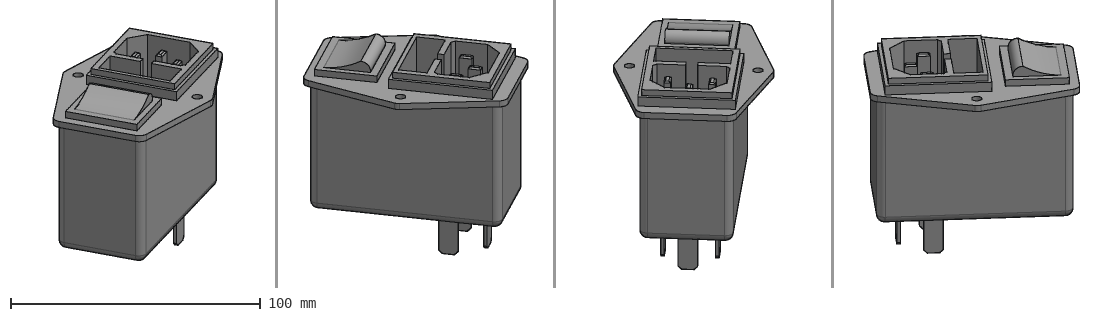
import cadquery as cq
import math

flange_thickness = 2.7
body_bottom = -58.2
blade_bottom = -75.0
socket_base_height = 4.0
socket_rim_height = 6.65
switch_base_height = 2.9
rocker_height = 7.4

flange_width = 64.3
flange_length = 84.1
flange_side_angle = 17.1
flange_corner_radius = 3.8
screw_hole_spacing = 51.6
screw_hole_diameter = 4.0

body_width = 37.5
body_length = 79.0
body_radius = 3.3

socket_center_y = 14.9
socket_base_width = 39.2
socket_base_length = 42.9
socket_step = 1.4

pocket_width = 30.95
pocket_floor = -16.8
connector_front_y = 11.1
connector_back_y = 32.2
connector_back_chamfer = 6.3
connector_front_chamfer = 1.5
fuse_front_y = -3.4
fuse_back_y = 8.4
slot_width = 4.8

pin_width = 2.7
pin_length = 5.2
pin_top = 3.95
pin_chamfer = 0.7
line_pin_x = 9.0
line_pin_y = 18.7
earth_pin_y = 24.5

blade_width = 7.9
blade_thickness = 1.4
blade_chamfer = 1.4
line_blade_x = 11.0
line_blade_y = 16.2
earth_blade_y = 29.6

switch_center_y = -25.15
switch_base_width = 30.95
switch_base_length = 25.7
rocker_width = 25.8
rocker_length = 19.3
rocker_back_radius = 4.0
rocker_front_radius = 32.4


def block(width, length, bottom, top, center_x=0.0, center_y=0.0):
    """Upright box between two heights."""
    return (
        cq.Workplane("XY", origin=(center_x, center_y, bottom))
        .rect(width, length)
        .extrude(top - bottom)
    )


def make_flange():
    angle = math.radians(flange_side_angle)
    tip_x = flange_width / 2 + flange_corner_radius * (1 / math.cos(angle) - 1)
    end_y = flange_length / 2
    end_x = tip_x - end_y * math.tan(angle)
    outline = [
        (tip_x, 0),
        (end_x, end_y),
        (-end_x, end_y),
        (-tip_x, 0),
        (-end_x, -end_y),
        (end_x, -end_y),
    ]
    return (
        cq.Workplane("XY")
        .polyline(outline)
        .close()
        .extrude(-flange_thickness)
        .edges("|Z")
        .fillet(flange_corner_radius)
        .faces(">Z")
        .workplane(origin=(0, 0, 0))
        .pushPoints([(-screw_hole_spacing / 2, 0), (screw_hole_spacing / 2, 0)])
        .hole(screw_hole_diameter)
    )


def make_body():
    box = block(body_width, body_length, body_bottom, -flange_thickness)
    return box.edges("|Z or <Z").fillet(body_radius)


def make_socket_block():
    base = block(socket_base_width, socket_base_length, 0, socket_base_height, 0, socket_center_y)
    rim_width = socket_base_width - 2 * socket_step
    rim_length = socket_base_length - 2 * socket_step
    rim = block(rim_width, rim_length, 0, socket_rim_height, 0, socket_center_y)
    return base.union(rim)


def pocket(width, front_y, back_y):
    """Cutter for a rectangular pocket that opens at the socket rim."""
    return block(width, back_y - front_y, pocket_floor, socket_rim_height, 0, (front_y + back_y) / 2)


def make_socket_pockets():
    connector = (
        pocket(pocket_width, connector_front_y, connector_back_y)
        .edges("|Z and >Y")
        .chamfer(connector_back_chamfer)
        .edges("|Z and <Y")
        .chamfer(connector_front_chamfer)
    )
    fuse = pocket(pocket_width, fuse_front_y, fuse_back_y)
    slot = pocket(slot_width, fuse_back_y, connector_front_y)
    return connector.union(fuse).union(slot)


def make_pin(x, y):
    """Contact pin standing on the pocket floor."""
    pin = block(pin_width, pin_length, pocket_floor, pin_top, x, y)
    return pin.faces(">Z").chamfer(pin_chamfer)


def make_blade(size_x, size_y, x, y, thickness_axis):
    """Solder blade with two chamfered corners across its width at the tip."""
    blade = block(size_x, size_y, blade_bottom, body_bottom, x, y)
    return blade.faces("<Z").edges("|" + thickness_axis).chamfer(blade_chamfer)


def make_rocker():
    back_y = switch_center_y + rocker_length / 2
    front_y = switch_center_y - rocker_length / 2
    ridge_y = back_y - rocker_back_radius
    return (
        cq.Workplane("YZ", origin=(-rocker_width / 2, 0, 0))
        .moveTo(back_y, 0)
        .lineTo(back_y, rocker_height - rocker_back_radius)
        .tangentArcPoint((ridge_y, rocker_height), relative=False)
        .radiusArc((front_y, switch_base_height), rocker_front_radius)
        .lineTo(front_y, 0)
        .close()
        .extrude(rocker_width)
    )


def make_switch_base():
    return block(switch_base_width, switch_base_length, 0, switch_base_height, 0, switch_center_y)


result = make_flange().union(make_body()).union(make_socket_block()).cut(make_socket_pockets())
result = result.union(make_switch_base()).union(make_rocker())

result = result.union(make_pin(0, earth_pin_y))
result = result.union(make_blade(blade_width, blade_thickness, 0, earth_blade_y, "Y"))
for side in (-1, 1):
    result = result.union(make_pin(side * line_pin_x, line_pin_y))
    result = result.union(make_blade(blade_thickness, blade_width, side * line_blade_x, line_blade_y, "X"))